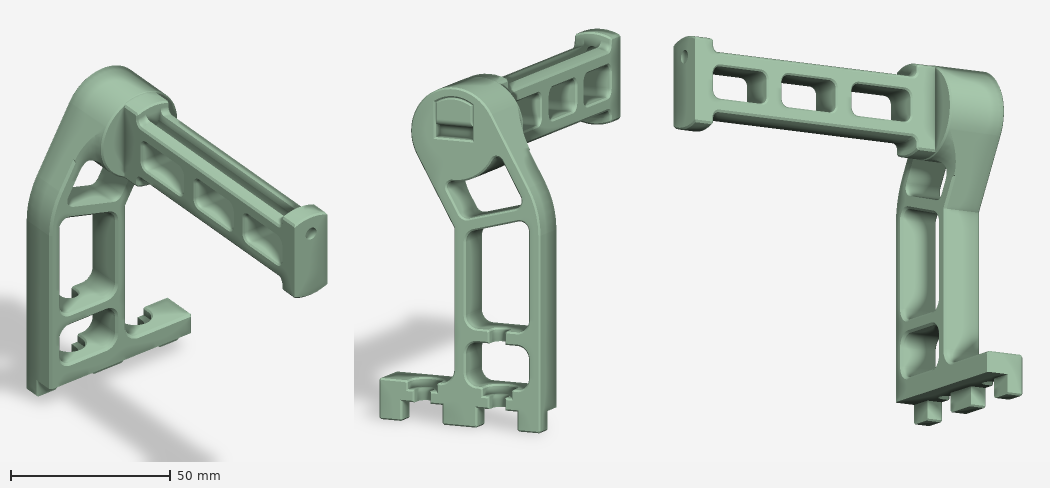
import cadquery as cq
import math

boss_radius = 15.0
post_width = 2 * boss_radius - 0.1
wall = 4.0
plate_thickness = 13.0
boss_length = 20.0
edge_break = 0.5
front_edge_break = 0.8
lean_angle = 30.0

pivot_z = 63.3
foot_top_z = 13.2
key_height = 6.3
key_thickness = 5.8
lower_window_height = 14.2
shelf_thickness = 4.4
inner_corner_radius = 5.0
window_radius = 4.0
neck_window_radius = 2.9
acute_corner_radius = 2.9
boss_corner_radius = 2.0
boss_blend_radius = 6.0

screw_pitch = 26.0
key_slot_width = 14.0
screw_diameter = 5.5
screw_head_diameter = 10.0
screw_head_depth = 2.8
screw_x = key_thickness / 2

handle_length = 109.0
handle_width = 12.9
flange_length = 7.0
flange_half_height = 14.8
grip_half_height = 10.7
crown_radius = 16.4
grip_blend_radius = 2.0
cord_diameter = 4.3
cord_height = 8.3
mouth_flare = 1.0
grip_window_height = 10.4
grip_window_radius = 2.5
grip_windows = [(29.2, 21.7), (56.8, 20.0), (82.3, 19.7)]

tongue_top_radius = 11.8
tongue_bottom = 1.4
hook_edge = 4.5
hook_round = 2.0

overshoot = 1.1
tolerance = 0.01

lean_sin = math.sin(math.radians(lean_angle))
lean_cos = math.cos(math.radians(lean_angle))
half_lean_tan = math.tan(math.radians(lean_angle / 2))
half_rib = wall / 2 / math.cos(math.radians(lean_angle / 2))
boss_z = pivot_z + post_width
screw_ys = (-post_width / 2, screw_pitch - post_width / 2)
foot_end_y = screw_ys[1] + post_width / 2
shelf_bottom_z = foot_top_z + lower_window_height
shelf_top_z = shelf_bottom_z + shelf_thickness
grip_start = boss_length + flange_length
grip_end = handle_length - flange_length


def box(x_range, y_range, z_range):
    """Axis-aligned block between two limits on each axis."""
    sizes = [high - low for low, high in (x_range, y_range, z_range)]
    corner = (x_range[0], y_range[0], z_range[0])
    return cq.Workplane("XY").box(*sizes, centered=False).translate(corner)


def disc(radius, start_x, length):
    """Cylinder on the boss axis, which runs along X."""
    return cq.Workplane("YZ", origin=(start_x, 0, boss_z)).circle(radius).extrude(length)


def bracket_prism(length):
    """Side outline of the bracket: foot, post, leaning neck and round head."""
    tangent_y = boss_radius * lean_cos
    tangent_rise = boss_radius * lean_sin
    bend_angle = math.radians(lean_angle / 2)
    return (
        cq.Workplane("YZ")
        .moveTo(tangent_y, boss_z - tangent_rise)
        .lineTo(0, pivot_z)
        .lineTo(0, foot_top_z + inner_corner_radius)
        .radiusArc((inner_corner_radius, foot_top_z), -inner_corner_radius)
        .lineTo(foot_end_y - edge_break, foot_top_z)
        .lineTo(foot_end_y, foot_top_z - edge_break)
        .lineTo(foot_end_y, 0)
        .lineTo(-post_width, 0)
        .lineTo(-post_width, pivot_z)
        .threePointArc(
            (-post_width * math.cos(bend_angle), pivot_z + post_width * math.sin(bend_angle)),
            (-post_width * lean_cos, pivot_z + post_width * lean_sin),
        )
        .lineTo(-tangent_y, boss_z + tangent_rise)
        .threePointArc((0, boss_z + boss_radius), (tangent_y, boss_z - tangent_rise))
        .close()
        .extrude(length)
    )


def boss_blend():
    """Concave ring that blends the plate into the boss, trimmed to the bracket outline."""
    ring = (
        cq.Workplane("XY", origin=(0, 0, boss_z))
        .moveTo(plate_thickness, boss_radius - overshoot)
        .lineTo(plate_thickness, boss_radius + boss_blend_radius)
        .radiusArc((plate_thickness + boss_blend_radius, boss_radius), -boss_blend_radius)
        .lineTo(plate_thickness + boss_blend_radius, boss_radius - overshoot)
        .close()
        .revolve(360, (0, 0, 0), (1, 0, 0))
    )
    return ring.intersect(bracket_prism(boss_length))


def rib_height(y):
    """Height at Y of the lower face of the slanted rib between the two upper windows."""
    return pivot_z - y * half_lean_tan - half_rib


def post_window(bottom_z, near_top_z, far_top_z, far_top_radius):
    """Window between the post walls; its top may slope along the rib."""
    near_y = -wall
    far_y = wall - post_width
    corners = [(near_y, bottom_z), (near_y, near_top_z), (far_y, far_top_z), (far_y, bottom_z)]
    prism = cq.Workplane("YZ").polyline(corners).close().extrude(plate_thickness)
    prism = prism.edges("|X and <Z or |X and >Y").fillet(window_radius)
    far_top_corner = cq.selectors.NearestToPointSelector((plate_thickness / 2, far_y, far_top_z))
    return prism.edges("|X").edges(far_top_corner).fillet(far_top_radius)


def neck_window():
    """Window between the slanted rib and the underside of the boss."""

    def neck_point(across, along):
        y = -across * lean_cos + along * lean_sin
        return (y, pivot_z + across * lean_sin + along * lean_cos)

    def rib_along(across):
        return half_rib - across * half_lean_tan

    def on_boss(edge):
        center = edge.Center()
        return abs(math.hypot(center.y, center.z - boss_z) - boss_radius) < tolerance

    near = wall
    far = post_width - wall
    head = boss_z - pivot_z
    corners = [
        neck_point(near, rib_along(near)),
        neck_point(near, head),
        neck_point(far, head),
        neck_point(far, rib_along(far)),
    ]
    prism = cq.Workplane("YZ").polyline(corners).close().extrude(boss_length)
    below_boss = prism.cut(disc(boss_radius, 0, boss_length)).solids("<Z")
    below_boss = below_boss.edges("|X and (<Z or <Y)").fillet(neck_window_radius)
    boss_corners = [edge for edge in below_boss.edges("|X").vals() if on_boss(edge)]
    return below_boss.newObject(boss_corners).fillet(boss_corner_radius)


def screw_slot(y, diameter, bottom_z, top_z, taper=0):
    """Round-ended slot, open towards the X = 0 face; a negative taper widens it upwards."""
    radius = diameter / 2
    return (
        cq.Workplane("XY", origin=(0, 0, bottom_z))
        .moveTo(-overshoot, y - radius)
        .lineTo(screw_x, y - radius)
        .threePointArc((screw_x + radius, y), (screw_x, y + radius))
        .lineTo(-overshoot, y + radius)
        .close()
        .extrude(top_z - bottom_z, taper=taper)
    )


def rim_flare(y, diameter, top_z):
    """Bevel around the upper rim of a screw slot."""
    return screw_slot(y, diameter, top_z - edge_break, top_z, taper=-45)


def tongue_prism(start_x, length):
    """Flat-bottomed, round-topped section of the handle tongue and of its socket."""
    block = box(
        (start_x, start_x + length),
        (-handle_width / 2, handle_width / 2),
        (boss_z - tongue_bottom, boss_z + boss_radius),
    )
    return block.intersect(disc(tongue_top_radius, start_x, length))


def make_bracket():
    plate = bracket_prism(plate_thickness)
    plate = plate.cut(post_window(foot_top_z, shelf_bottom_z, shelf_bottom_z, window_radius))
    rib_ends = (rib_height(-wall), rib_height(wall - post_width))
    plate = plate.cut(post_window(shelf_top_z, *rib_ends, acute_corner_radius))
    plate = plate.faces(">X").edges().chamfer(front_edge_break)

    blend_disc = disc(boss_radius + boss_blend_radius, 0, plate_thickness)
    plate = plate.union(bracket_prism(plate_thickness).intersect(blend_disc))
    body = plate.union(boss_blend()).cut(neck_window()).cut(disc(boss_radius, 0, boss_length))
    body = body.union(disc(boss_radius, 0, boss_length).faces(">X").edges().chamfer(edge_break))

    far_y = post_width + overshoot
    through_x = plate_thickness + overshoot
    body = body.cut(box((key_thickness, through_x), (-far_y, far_y), (-overshoot, key_height)))
    for y in screw_ys:
        slot_ys = (y - key_slot_width / 2, y + key_slot_width / 2)
        body = body.cut(box((-overshoot, through_x), slot_ys, (-overshoot, key_height)))
    body = body.faces("<Z").edges("|X").chamfer(edge_break)

    for y in screw_ys:
        body = body.cut(screw_slot(y, screw_diameter, 0, foot_top_z))
        body = body.cut(screw_slot(y, screw_head_diameter, foot_top_z - screw_head_depth, foot_top_z))
        body = body.cut(rim_flare(y, screw_head_diameter, foot_top_z))
    body = body.cut(screw_slot(screw_ys[0], screw_diameter, shelf_bottom_z, shelf_top_z))
    body = body.cut(rim_flare(screw_ys[0], screw_diameter, shelf_top_z))

    body = body.cut(tongue_prism(0, boss_length))
    return body.faces("<X").edges().chamfer(edge_break)


def crowned_bar(half_height, start_x, length):
    """Bar along X with flat sides and gently crowned top and bottom."""
    half_width = handle_width / 2
    shoulder = half_height - crown_radius + math.sqrt(crown_radius**2 - half_width**2)
    return (
        cq.Workplane("YZ", origin=(start_x, 0, boss_z))
        .moveTo(-half_width, -shoulder)
        .lineTo(-half_width, shoulder)
        .threePointArc((0, half_height), (half_width, shoulder))
        .lineTo(half_width, -shoulder)
        .threePointArc((0, -half_height), (-half_width, -shoulder))
        .close()
        .extrude(length)
    )


def cord_channel():
    """Round bore along the top of the grip, opened upwards by a flared mouth and run out at the end."""
    radius = cord_diameter / 2
    profile = cq.Workplane("YZ", origin=(grip_start, 0, boss_z + cord_height))
    bore = profile.circle(radius).extrude(handle_length - grip_start)
    mouth_height = grip_half_height + grip_blend_radius - cord_height
    mouth = (
        profile.moveTo(-radius, 0)
        .lineTo(radius, 0)
        .lineTo(radius + mouth_flare, mouth_height)
        .lineTo(-radius - mouth_flare, mouth_height)
        .close()
        .extrude(grip_end - grip_start)
    )
    return bore.union(mouth)


def make_tongue():
    """Tongue through the boss, with a hook at the open end of the socket."""
    tongue = tongue_prism(0, boss_length)
    tongue = tongue.faces("<X").edges().chamfer(edge_break)
    relief_bottom = boss_z - tongue_bottom - overshoot
    hook_z = boss_z + hook_edge
    relief = (
        cq.Workplane("XZ", origin=(0, handle_width / 2, 0))
        .moveTo(0, relief_bottom)
        .lineTo(0, hook_z)
        .radiusArc((hook_round, hook_z - hook_round), -hook_round)
        .radiusArc((2 * hook_round, hook_z - 2 * hook_round), hook_round)
        .lineTo(2 * hook_round, relief_bottom)
        .close()
        .extrude(handle_width)
    )
    return tongue.cut(relief)


def make_handle():
    inner_flange = crowned_bar(flange_half_height, boss_length, flange_length)
    inner_flange = inner_flange.faces(">X").edges("%CIRCLE").chamfer(edge_break)
    outer_flange = crowned_bar(flange_half_height, grip_end, flange_length)
    outer_flange = outer_flange.edges("%CIRCLE").chamfer(edge_break)
    grip = crowned_bar(grip_half_height, grip_start, grip_end - grip_start)
    body = grip.union(inner_flange).union(outer_flange)

    crown_edges = body.edges("%CIRCLE").vals()
    grip_ends = [edge for edge in crown_edges if abs(edge.Center().z - boss_z) < grip_half_height]
    body = body.newObject(grip_ends).fillet(grip_blend_radius)

    for start_x, length in grip_windows:
        opening = box(
            (start_x, start_x + length),
            (-handle_width, handle_width),
            (boss_z - grip_window_height / 2, boss_z + grip_window_height / 2),
        )
        body = body.cut(opening.edges("|Y").fillet(grip_window_radius))
    body = body.cut(cord_channel())

    for side in ("<Y", ">Y"):
        side_edges = body.faces(side).edges().vals()
        rims = [edge for edge in side_edges if edge.Center().x < handle_length - edge_break]
        body = body.newObject(rims).chamfer(edge_break)
    return body.union(make_tongue())


bracket = make_bracket()
handle = make_handle()
result = cq.Compound.makeCompound([bracket.val(), handle.val()])